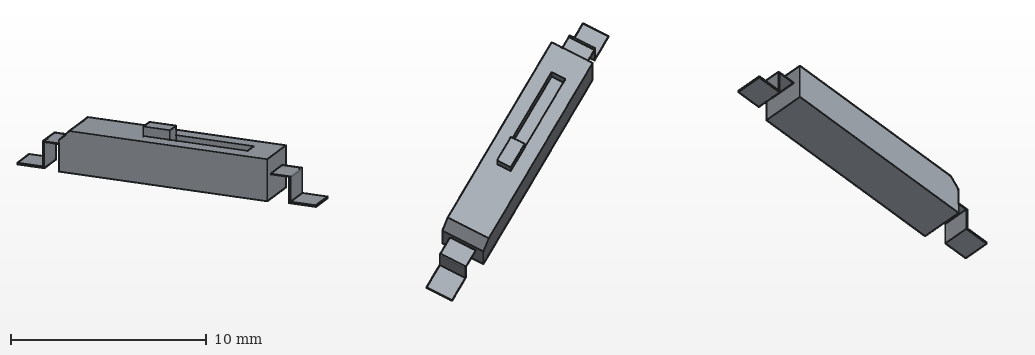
import cadquery as cq

overall_length = 16.62
overall_height = 2.9

housing_length = 11.6
housing_width = 2.4
housing_height = 2.28
housing_chamfer = 0.57

lead_thickness = 0.1
lead_width = 1.5
shoulder_thickness = 0.05
bend_radius = 0.03
lead_height = 1.46
foot_length = 1.5

slot_length = housing_length / 2
slot_width = 0.8
slot_depth = 0.61
slot_end_margin = 1.45
slider_length = 1.48

housing_bottom = lead_thickness
housing_top = housing_bottom + housing_height
housing_end = housing_length / 2
slot_floor = housing_top - slot_depth
slot_end = housing_end - slot_end_margin
slot_start = slot_end - slot_length


def block(x_start, length, width, z_bottom, height):
    """Box centred on Y, starting at x_start and z_bottom."""
    return cq.Workplane("XY").box(length, width, height, centered=(False, True, False)).translate(
        (x_start, 0, z_bottom)
    )


def make_housing():
    """Block with one bevelled top end edge and a blind slot in the top."""
    body = block(-housing_end, housing_length, housing_width, housing_bottom, housing_height)
    body = body.faces("<X").edges(">Z").chamfer(housing_chamfer)
    slot = block(slot_start, slot_length, slot_width, slot_floor, slot_depth)
    return body.cut(slot)


def make_slider():
    """Knob standing on the slot floor at the -X end of its travel."""
    return block(slot_start, slider_length, slot_width, slot_floor, overall_height - slot_floor)


def make_lead(side):
    """Z-bent strip from the housing end face to its foot with a rounded upper bend; side is -1 or +1."""
    tip = overall_length / 2
    riser_inner = tip - foot_length
    riser_outer = riser_inner + lead_thickness
    profile = [
        (housing_end, lead_height),
        (riser_outer, lead_height),
        (riser_outer, lead_thickness),
        (tip, lead_thickness),
        (tip, 0),
        (riser_inner, 0),
        (riser_inner, lead_height - shoulder_thickness),
        (housing_end, lead_height - shoulder_thickness),
    ]
    strip = (
        cq.Workplane("XZ")
        .polyline([(side * x, z) for x, z in profile])
        .close()
        .extrude(lead_width / 2, both=True)
    )
    outer_bend = cq.selectors.NearestToPointSelector((side * riser_outer, 0, lead_height))
    return strip.edges(outer_bend).fillet(bend_radius)


housing = make_housing()
slider = make_slider()
leads = [make_lead(side) for side in (-1, 1)]

result = cq.Compound.makeCompound([housing.val(), slider.val(), *[lead.val() for lead in leads]])